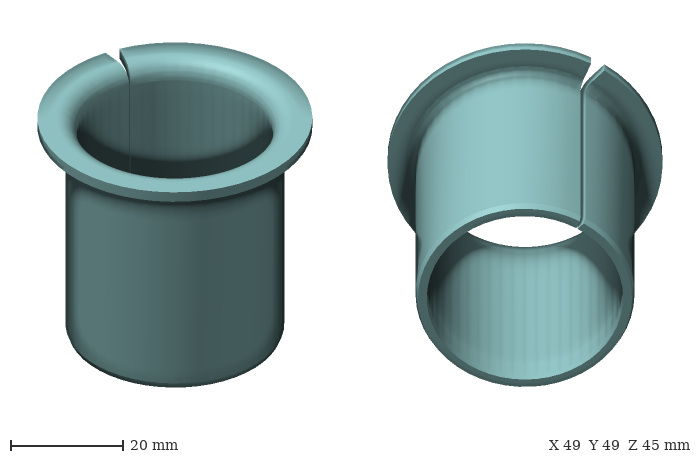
import cadquery as cq

flange_radius = 24.5
height = 45.0
wall = 2.0
bore_radius = 17.5
outer_bend = 1.45
inner_bend = outer_bend + wall
lead_in_height = 1.2
lead_in_depth = 0.45

gap_start = 17.15
gap_inner_width = 0.15
gap_outer_width = 2.8

body_radius = bore_radius + wall
flange_underside = height - wall
bend_start = flange_underside - outer_bend
bend_center_radius = body_radius + outer_bend
arc_factor = 0.5 ** 0.5


def bend_midpoint(radius):
    """Middle of a quarter bend of the given radius, in the profile plane."""
    offset = radius * arc_factor
    return (bend_center_radius - offset, bend_start + offset)


def flanged_sleeve():
    """Sleeve whose wall bends outward into a flat flange."""
    return (
        cq.Workplane("XZ")
        .moveTo(bore_radius, 0)
        .lineTo(body_radius - lead_in_depth, 0)
        .lineTo(body_radius, lead_in_height)
        .lineTo(body_radius, bend_start)
        .threePointArc(bend_midpoint(outer_bend), (bend_center_radius, flange_underside))
        .lineTo(flange_radius, flange_underside)
        .lineTo(flange_radius, height)
        .lineTo(bend_center_radius, height)
        .threePointArc(bend_midpoint(inner_bend), (bore_radius, bend_start))
        .close()
        .revolve(360, (0, 0, 0), (0, 1, 0))
    )


def split_gap():
    """Full-height gap on the -X side, widening outward from the bore."""
    return (
        cq.Workplane("XY")
        .polyline([
            (-gap_start, -gap_inner_width / 2),
            (-gap_start, gap_inner_width / 2),
            (-flange_radius, gap_outer_width / 2),
            (-flange_radius, -gap_outer_width / 2),
        ])
        .close()
        .extrude(height)
    )


sleeve = flanged_sleeve().rotate((0, 0, 0), (0, 0, 1), 180)
result = sleeve.cut(split_gap())